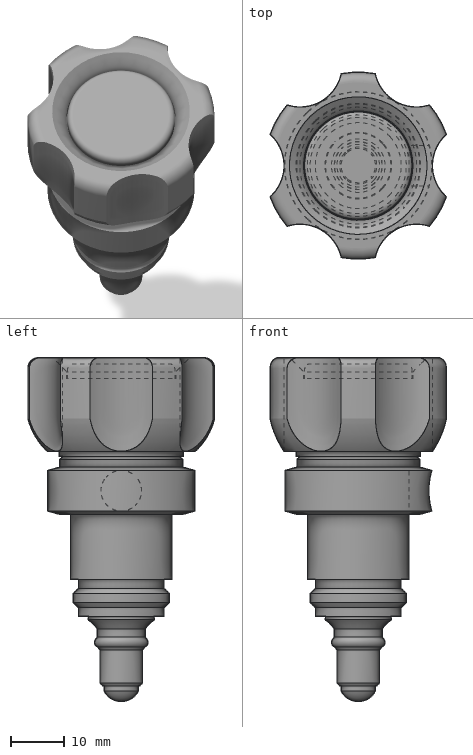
import cadquery as cq
import math

total_height = 64.3

knob_radius = 17.5
knob_bottom_z = 46.7
knob_bottom_radius = 13.8
knob_taper_z = 52.8
knob_taper_mid = (16.1, 49.6)
knob_edge_round = 2.0
grip_count = 6
grip_radius = 7.85
grip_floor_radius = 13.9

dish_radius = 12.85
dish_depth = 2.65
bore_radius = 10.2
bore_depth = 3.85
button_radius = 10.0
button_drop = 1.15
button_round = 1.0

lip_radius = 11.65
lip_bottom_z = 45.8
neck_radius = 11.5
neck_top_z = 45.25
neck_chamfer = lip_bottom_z - neck_top_z
collar_radius = 13.75
collar_top_z = 43.85
collar_bottom_z = 34.95
collar_edge_drop = 0.65
body_radius = 9.5
body_bottom_z = 22.8
port_radius = 3.8

groove_radius = 8.05
seat_bottom_z = 15.95
rib_radius = 9.0
rib_center_z = 19.35
rib_half_width = 0.85
rib_slope = rib_radius - groove_radius

shoulder_radius = 6.25
shoulder_edge = 0.1
shoulder_bottom_z = 15.3
flare_mid = (5.2, 14.45)
stem_neck_radius = 4.5
flare_bottom_z = 13.55

bead_fillet_z = 12.1
bead_top = (4.7, 11.75)
bead_mid = (5.0, 11.05)
bead_bottom = (4.45, 10.2)
pin_radius = 4.0
pin_top_z = 9.65
pin_chamfer_z = 3.5
pin_chamfer = 0.5
tip_radius = 3.2
tip_step_z = pin_chamfer_z - pin_chamfer
dome_height = 2.0
dome_sphere_radius = (tip_radius**2 + dome_height**2) / (2 * dome_height)


def turn(profile):
    """Revolve a closed half-section, drawn as (radius, height), about Z."""
    return profile.close().revolve(360, (0, 0, 0), (0, 1, 0))


def make_stem():
    """Everything below the knob, from the domed tip up to the lip under the knob."""
    half_angle = math.asin(tip_radius / dome_sphere_radius) / 2
    dome_mid = (
        dome_sphere_radius * math.sin(half_angle),
        dome_sphere_radius * (1 - math.cos(half_angle)),
    )
    rib_bottom_z = rib_center_z - rib_half_width
    rib_top_z = rib_center_z + rib_half_width
    profile = (
        cq.Workplane("XZ")
        .moveTo(0, 0)
        .threePointArc(dome_mid, (tip_radius, dome_height))
        .lineTo(tip_radius, tip_step_z)
        .lineTo(pin_radius - pin_chamfer, tip_step_z)
        .lineTo(pin_radius, pin_chamfer_z)
        .lineTo(pin_radius, pin_top_z)
        .lineTo(*bead_bottom)
        .threePointArc(bead_mid, bead_top)
        .lineTo(stem_neck_radius, bead_fillet_z)
        .lineTo(stem_neck_radius, flare_bottom_z)
        .threePointArc(flare_mid, (shoulder_radius, shoulder_bottom_z))
        .lineTo(shoulder_radius - shoulder_edge, seat_bottom_z)
        .lineTo(groove_radius, seat_bottom_z)
        .lineTo(groove_radius, rib_bottom_z - rib_slope)
        .lineTo(rib_radius, rib_bottom_z)
        .lineTo(rib_radius, rib_top_z)
        .lineTo(groove_radius, rib_top_z + rib_slope)
        .lineTo(groove_radius, body_bottom_z)
        .lineTo(body_radius, body_bottom_z)
        .lineTo(body_radius, collar_bottom_z)
        .lineTo(neck_radius, collar_bottom_z)
        .lineTo(collar_radius, collar_bottom_z + collar_edge_drop)
        .lineTo(collar_radius, collar_top_z - collar_edge_drop)
        .lineTo(neck_radius, collar_top_z)
        .lineTo(neck_radius, neck_top_z)
        .lineTo(neck_radius - neck_chamfer, lip_bottom_z)
        .lineTo(lip_radius, lip_bottom_z)
        .lineTo(lip_radius, knob_bottom_z)
        .lineTo(0, knob_bottom_z)
    )
    return turn(profile)


def make_port():
    """Round port along +X, reaching through the collar to the body radius."""
    port_z = (collar_top_z + collar_bottom_z) / 2
    return (
        cq.Workplane("YZ", origin=(body_radius, 0, port_z))
        .circle(port_radius)
        .extrude(collar_radius)
    )


def make_knob():
    """Knob with a rounded top edge, a curved underside and a dished top."""
    round_mid = knob_edge_round * (1 - math.sqrt(0.5))
    bore_floor_z = total_height - bore_depth
    profile = (
        cq.Workplane("XZ")
        .moveTo(0, knob_bottom_z)
        .lineTo(knob_bottom_radius, knob_bottom_z)
        .threePointArc(knob_taper_mid, (knob_radius, knob_taper_z))
        .lineTo(knob_radius, total_height - knob_edge_round)
        .threePointArc(
            (knob_radius - round_mid, total_height - round_mid),
            (knob_radius - knob_edge_round, total_height),
        )
        .lineTo(dish_radius, total_height)
        .lineTo(bore_radius, total_height - dish_depth)
        .lineTo(bore_radius, bore_floor_z)
        .lineTo(0, bore_floor_z)
    )
    return turn(profile)


def make_grips():
    """Vertical round cutters for the finger grips, the first one on +X."""
    return (
        cq.Workplane("XY", origin=(0, 0, knob_bottom_z))
        .polarArray(grip_floor_radius + grip_radius, 0, 360, grip_count)
        .circle(grip_radius)
        .extrude(total_height - knob_bottom_z)
    )


def make_button():
    """Round button with a softened rim, standing on the floor of the bore."""
    return (
        cq.Workplane("XY", origin=(0, 0, total_height - bore_depth))
        .circle(button_radius)
        .extrude(bore_depth - button_drop)
        .faces(">Z")
        .edges()
        .fillet(button_round)
    )


stem = make_stem().cut(make_port())
knob = make_knob().cut(make_grips())
result = stem.union(knob).union(make_button())